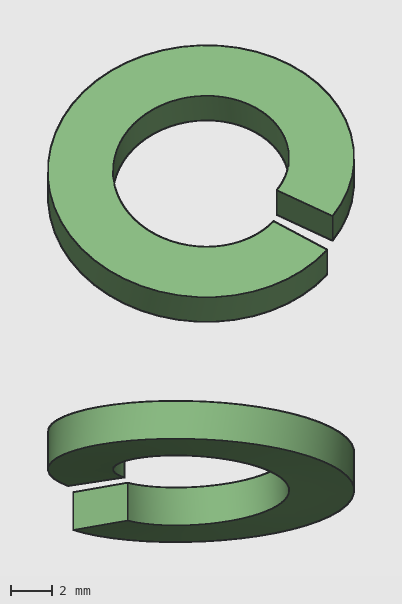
import cadquery as cq

outer_diameter = 14.8
inner_diameter = 8.5
thickness = 1.9
overall_height = 3.99
gap_angle = 3.6

outer_radius = outer_diameter / 2
inner_radius = inner_diameter / 2
wound_angle = 360 - gap_angle
rise = overall_height - thickness
pitch = rise * 360 / wound_angle


def wound_ring():
    """Left-hand coil that starts on +X at height zero and climbs clockwise seen from above."""
    path = cq.Wire.makeHelix(pitch, rise, inner_radius, lefthand=True)
    section = (
        cq.Workplane("XZ")
        .moveTo(inner_radius, 0)
        .lineTo(outer_radius, 0)
        .lineTo(outer_radius, thickness)
        .lineTo(inner_radius, thickness)
        .close()
    )
    return section.sweep(cq.Workplane(obj=path), isFrenet=True)


result = wound_ring().rotate((0, 0, 0), (0, 0, 1), -gap_angle)